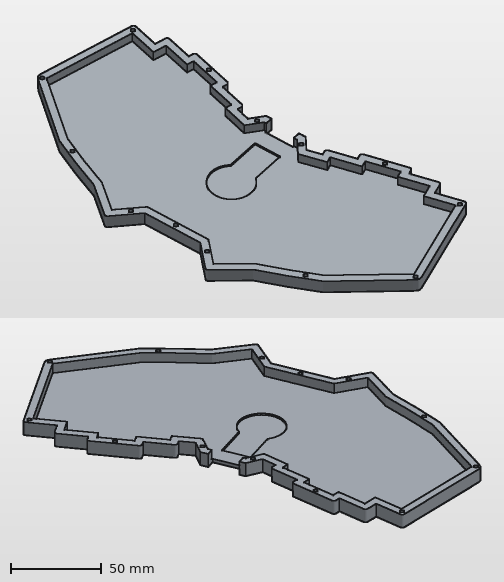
import cadquery as cq
import math

length = 265.2
height = 8.5
floor_thickness = 2.5
wall_thickness = 4.8
corner_radius = 1.5
hole_diameter = 2.5

splay_angle = 15
key_pitch = 19.0
wing_side = -128.4
wing_low_corner = -35.8
outer_row, second_row, top_row, inner_row = 31.5, 40.3, 44.8, 36.0
top_row_end = -59.5

outward_steps = (0, 2, 4, 5, 7)
match_tolerance = 0.03

side_corner = (-length / 2, -1.3)
side_front_bend = (-130.2, -3.7)

valley_x, valley_y = 20.5, 42.7
post_outer_x, post_rear_y = 13.8, 50.7

front_edge_y = -51.7
front_edge_half = 19.4
tip = (-35.0, -67.0)
front_bends = [(-55.5, -51.0), (-73.7, -43.2), (-91.8, -34.7)]

gap_center_x = -0.5
gap_half_width = 9.5
gap_edge_y = 45.0
recess_depth = 1.0
recess_half_width = 8.8
recess_rear_y = 34.7
recess_circle_y = 2.0
recess_radius = 13.8

front_hole_y = -48.8
left_holes = [(-113.8, 60.0), (-130.0, -0.8), (-61.3, 60.5), (-15.5, 44.5), (-81.2, -36.9), (-26.5, -55.0)]


def wing_point(along, across):
    """Turn a point of the left wing's own frame into part coordinates."""
    angle = math.radians(splay_angle)
    x = along * math.cos(angle) + across * math.sin(angle)
    y = across * math.cos(angle) - along * math.sin(angle)
    return (x, y)


def mirrored(points):
    return [(-x, y) for x, y in points]


def blunt_side_corner():
    """Corner points where the left wing is cut off at the overall length."""
    angle = math.radians(splay_angle)
    side_x = side_corner[0]
    side_bend_y = (side_x * math.cos(angle) - wing_side) / math.sin(angle)
    return [side_front_bend, side_corner, (side_x, side_bend_y)]


def wing_steps():
    """Corners of the stepped rear edge of the left wing, from its outer side inward."""
    second_start = wing_side + key_pitch
    top_start = second_start + key_pitch
    inner_start = top_row_end + key_pitch
    steps = [
        (wing_side, outer_row),
        (second_start, outer_row),
        (second_start, second_row),
        (top_start, second_row),
        (top_start, top_row),
        (top_row_end, top_row),
        (top_row_end, second_row),
        (inner_start, second_row),
        (inner_start, inner_row),
    ]
    return [wing_point(*step) for step in steps]


def left_outline(side_points):
    """Unrounded corners of the left half, from the front edge round to the rear post."""
    front = [(-front_edge_half, front_edge_y), tip] + front_bends
    rear = [(-valley_x, valley_y), (-post_outer_x, post_rear_y)]
    return front + side_points + wing_steps() + rear


def full_outline(side_points):
    left = left_outline(side_points)
    return left + mirrored(left[::-1])


def inset(points, distance):
    """Move every edge of a clockwise outline inward and return the new corners."""
    corners = []
    for before, corner, after in zip(points[-1:] + points[:-1], points, points[1:] + points[:1]):
        heading_in = math.atan2(corner[1] - before[1], corner[0] - before[0])
        heading_out = math.atan2(after[1] - corner[1], after[0] - corner[0])
        half_turn = (heading_out - heading_in) / 2
        miter = distance / math.cos(half_turn)
        normal = heading_in + half_turn - math.pi / 2
        corners.append((corner[0] + miter * math.cos(normal), corner[1] + miter * math.sin(normal)))
    return corners


body = cq.Workplane("XY").polyline(full_outline(blunt_side_corner())).close().extrude(height)
left_rounded = [tip, side_corner] + [wing_steps()[index] for index in outward_steps]
rounded_corners = left_rounded + mirrored(left_rounded)


def is_rounded(edge):
    position = edge.Center()
    return any(math.dist(corner, (position.x, position.y)) < match_tolerance for corner in rounded_corners)


rounded_edges = [edge for edge in body.edges("|Z").vals() if is_rounded(edge)]
body = body.newObject(rounded_edges).fillet(corner_radius)

sharp_side = [wing_point(wing_side, wing_low_corner)]
interior_outline = inset(full_outline(sharp_side), wall_thickness)
interior = cq.Workplane("XY").workplane(offset=floor_thickness).polyline(interior_outline).close()
body = body.cut(interior.extrude(height))

gap_length = post_rear_y - gap_edge_y
gap = (
    cq.Workplane("XY")
    .center(gap_center_x, gap_edge_y + gap_length / 2)
    .rect(2 * gap_half_width, gap_length)
    .extrude(height)
)
body = body.cut(gap)

recess_length = recess_rear_y - recess_circle_y
recess_plane = cq.Workplane("XY").workplane(offset=floor_thickness - recess_depth)
recess_slot = (
    recess_plane.center(gap_center_x, recess_circle_y + recess_length / 2)
    .rect(2 * recess_half_width, recess_length)
    .extrude(recess_depth)
)
recess_circle = recess_plane.center(gap_center_x, recess_circle_y).circle(recess_radius).extrude(recess_depth)
body = body.cut(recess_slot.union(recess_circle))

hole_centers = [(0, front_hole_y)] + left_holes + mirrored(left_holes)
holes = cq.Workplane("XY").pushPoints(hole_centers).circle(hole_diameter / 2).extrude(height)
result = body.cut(holes)